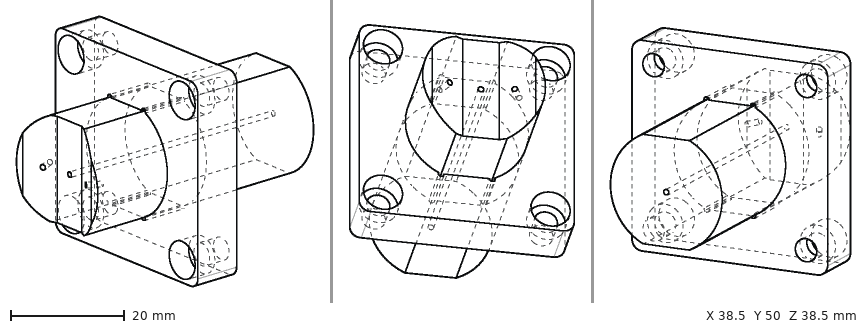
import cadquery as cq
import math

shaft_length = 50.0
shaft_diameter = 22.0
flat_spacing = 20.0
front_overhang = 16.1
shaft_front = -front_overhang

flange_side = 38.5
flange_thickness = 9.0
corner_radius = 2.0

mount_spacing = 30.0
mount_diameter = 4.2
counterbore_diameter = 7.0
counterbore_depth = 4.5

relief_diameter = 1.0

recess_mouth_width = 18.5
recess_floor_width = 6.6
recess_depth = 2.9

bore_diameter = 1.0
side_bore_offset = 5.8
side_bore_depth = 3.0

recess_run = (recess_mouth_width - recess_floor_width) / 2
flat_corner_x = math.sqrt((shaft_diameter / 2) ** 2 - (flat_spacing / 2) ** 2)


def y_cylinder(diameter, start_y, length, x=0.0, z=0.0):
    """Cylinder that starts at start_y and runs towards +Y."""
    return cq.Workplane(
        cq.Solid.makeCylinder(diameter / 2, length, cq.Vector(x, start_y, z), cq.Vector(0, 1, 0))
    )


def flatted_bar(start_y, length):
    """Round bar with two flats, facing +Z and -Z."""
    slab = cq.Workplane("XY").box(shaft_diameter, length, flat_spacing)
    slab = slab.translate((0, start_y + length / 2, 0))
    return y_cylinder(shaft_diameter, start_y, length).intersect(slab)


def front_recess():
    """Trapezoidal channel running through the shaft along Z."""
    floor_y = shaft_front + recess_depth
    return (
        cq.Workplane("XY")
        .polyline([
            (-recess_mouth_width / 2, shaft_front),
            (-recess_floor_width / 2, floor_y),
            (recess_floor_width / 2, floor_y),
            (recess_mouth_width / 2, shaft_front),
        ])
        .close()
        .extrude(shaft_diameter / 2, both=True)
    )


def side_bore(side):
    """Blind bore square to the sloping recess wall on one side (-1 or 1)."""
    wall_y = shaft_front + recess_depth * (recess_mouth_width / 2 - side_bore_offset) / recess_run
    inward = cq.Vector(side * recess_depth, recess_run, 0).normalized()
    mouth = cq.Vector(side * side_bore_offset, wall_y, 0)
    start = mouth - inward * bore_diameter
    bore_length = side_bore_depth + bore_diameter
    return cq.Workplane(cq.Solid.makeCylinder(bore_diameter / 2, bore_length, start, inward))


def make_shaft():
    shaft = flatted_bar(shaft_front, shaft_length).cut(front_recess())
    shaft = shaft.cut(y_cylinder(bore_diameter, shaft_front, shaft_length))
    for side in (-1, 1):
        shaft = shaft.cut(side_bore(side))
    return shaft


def make_flange():
    flange = (
        cq.Workplane("XY")
        .box(flange_side, flange_thickness, flange_side)
        .translate((0, flange_thickness / 2, 0))
        .edges("|Y")
        .fillet(corner_radius)
    )
    flange = flange.cut(flatted_bar(0, flange_thickness))
    for x_side in (-1, 1):
        for z_side in (-1, 1):
            mount_x = x_side * mount_spacing / 2
            mount_z = z_side * mount_spacing / 2
            relief_x = x_side * flat_corner_x
            relief_z = z_side * flat_spacing / 2
            flange = flange.cut(y_cylinder(mount_diameter, 0, flange_thickness, mount_x, mount_z))
            flange = flange.cut(y_cylinder(counterbore_diameter, 0, counterbore_depth, mount_x, mount_z))
            flange = flange.cut(y_cylinder(relief_diameter, 0, flange_thickness, relief_x, relief_z))
    return flange


shaft = make_shaft()
flange = make_flange()

result = cq.Compound.makeCompound([shaft.val(), flange.val()])